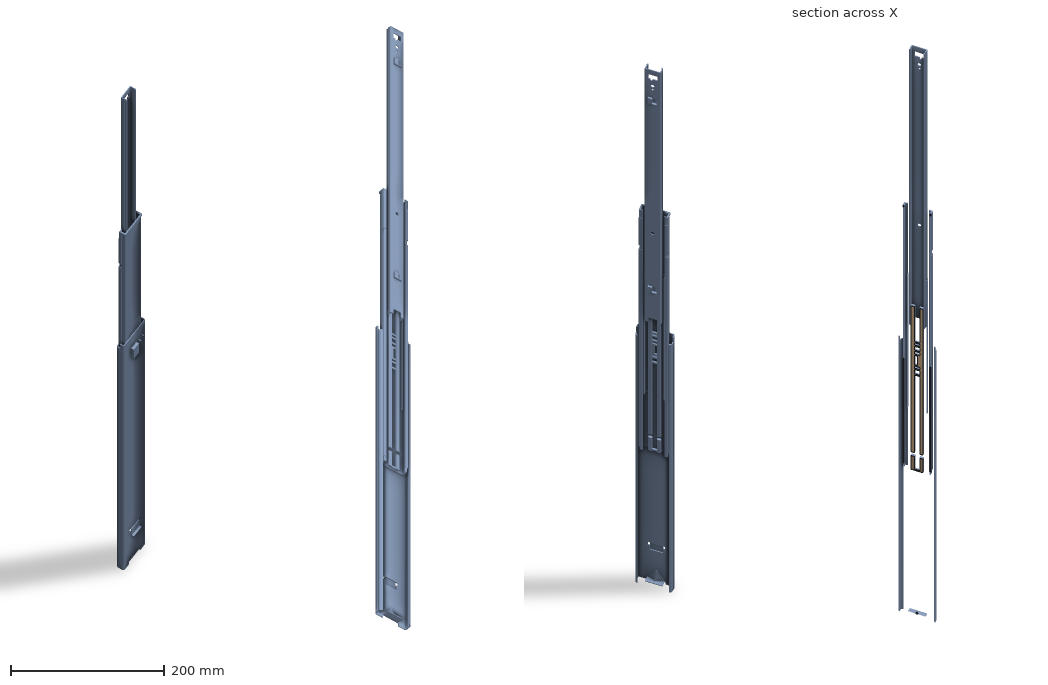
import cadquery as cq
import math


SLIDE_LENGTH = 1025.0
MEMBER_LENGTH = 499.0
OVERALL_DEPTH = 22.0
CABINET_WIDTH = 52.0
HOOK_REACH = OVERALL_DEPTH / 2
SHEET = 1.2
BEND = 0.8

CABINET_HALF_WIDTH = CABINET_WIDTH / 2
CABINET_HALF_DEPTH = 6.0
CABINET_BEND = 2.6
BEAD_RADIUS = 4.0
BEAD_SETBACK = 9.0
BEAD_START_ANGLE = 59
BEAD_END_ANGLE = 180

MIDDLE_HALF_WIDTH = 19.0
MIDDLE_FRONT = -5.0
MIDDLE_BACK = 4.0
MIDDLE_MOUTH = 15.0
MIDDLE_BOTTOM = 264.0
MIDDLE_TOP = 739.0

DRAWER_HALF_WIDTH = 11.0
DRAWER_FRONT = -8.0
DRAWER_BACK = 1.0
DRAWER_MOUTH = 9.0
DRAWER_RACE_FRONT = -2.9
DRAWER_RACE_BACK = -0.5
DRAWER_RACE_DEPTH = 0.5
DRAWER_BOTTOM = SLIDE_LENGTH - MEMBER_LENGTH

CAGE_WALL = 0.6
CAGE_GAP = 0.2
OUTER_CAGE_HALF_WIDTH = 20.0
OUTER_CAGE_LIP = 16.0
OUTER_CAGE_LEG_BACK = -1.0
OUTER_CAGE_BOTTOM = 272.0
OUTER_CAGE_TOP = 661.0
OUTER_CAGE_STRAP_TOP = 461.0
TOP_BUMPER_BOTTOM = 669.0
TOP_BUMPER_STRAP_BOTTOM = 736.0
TOP_BUMPER_LIP_TOP = 724.0

INNER_CAGE_OUTSIDE = 14.0
INNER_CAGE_PLATE_WIDTH = 1.8
INNER_CAGE_INSIDE = INNER_CAGE_OUTSIDE - INNER_CAGE_PLATE_WIDTH
INNER_CAGE_FRONT = -3.0
INNER_CAGE_BOTTOM = 373.0
INNER_CAGE_FOOT_INSIDE = 9.0
INNER_CAGE_FOOT_HEIGHT = 3.0
INNER_CAGE_BRIDGE = 554.0
INNER_CAGE_TOP = 615.0

BAR_INSIDE = 3.6
BAR_OUTSIDE = 8.7
BAR_FRONT = -2.0
BAR_BACK = 1.4
LATCH_BOTTOM = 296.0
LATCH_TOP = 562.0
RUNG_FRONT = -1.0
RUNG_HEIGHT = 3.0
RUNG_HEIGHTS = (439.0, 449.0, 455.0, 475.0, 482.0, 491.0, 497.0)
FINGER_WIDTH = 3.0
STOP_TOP = 290.0

WINDOW_HALF_WIDTH = 6.7
WINDOW_BOTTOM = 1008.0
WINDOW_TOP = 1016.0
WINDOW_NOTCH_WIDTH = 3.0
WINDOW_NOTCH_DEPTH = 3.0
END_NOTCH_HALF_WIDTH = 6.0
END_NOTCH_DEPTH = 8.0
SCREW_HOLE_HEIGHT = 994.0
SCREW_HOLE_DIAMETER = 5.0
PILOT_HOLE_HEIGHT = 987.0
PILOT_HOLE_DIAMETER = 3.0
RIVET_HOLE_HEIGHT = 703.0
RIVET_HOLE_DIAMETER = 5.0
DRAWER_HOOK_HEIGHTS = (593.0, 967.0)
DRAWER_HOOK_WIDTH = 6.0
DRAWER_HOOK_LENGTH = 9.0
DRAWER_HOOK_SLOT_WIDTH = 4.0
DRAWER_HOOK_SLOT_DEPTH = 0.6

LOWER_HOOK_BOTTOM = 60.0
LOWER_HOOK_TOP = 74.0
LOWER_HOOK_HALF_WIDTH = 9.0
LOWER_HOOK_SHOULDER = 3.0
LOWER_HOOK_SHOULDER_HEIGHT = 5.0
UPPER_HOOK_BOTTOM = 455.0
UPPER_HOOK_TOP = 476.0
UPPER_HOOK_RIGHT = -9.0
UPPER_HOOK_LEFT = 3.0
UPPER_HOOK_FRONT = 7.0
FIN_PLACES = ((7.7, HOOK_REACH), (16.0, 9.0))
GUSSET_HALF_WIDTH = 12.0
GUSSET_HEIGHT = 18.0
GUSSET_BASE = 5.0
GUSSET_STEPS = 4
GUSSET_RISE = 1.0
END_STOP_FRONT = -4.0
LOWER_END_NOTCH_HALF_WIDTH = 13.0


def box(x0, x1, y0, y1, z0, z1):
    """Block between two corners."""
    return cq.Workplane("XY").box(x1 - x0, y1 - y0, z1 - z0, centered=False).translate((x0, y0, z0))


def channel(x_web, x_lip, half_width, mouth, wall, z0, z1):
    """C-section rail along Z: web at x_web, lips at x_lip, bends rounded outside."""
    toward_lip = 1 if x_lip > x_web else -1
    low, high = sorted((x_web, x_lip))
    rail = box(low, high, -half_width, half_width, z0, z1).edges("|Z").fillet(BEND)
    inside = box(low + wall, high - wall, wall - half_width, half_width - wall, z0, z1)
    lip_low, lip_high = sorted((x_lip, x_lip - toward_lip * wall))
    opening = box(lip_low, lip_high, -mouth, mouth, z0, z1)
    return rail.cut(inside).cut(opening)


def around(center, radius, degrees):
    """Point on a circle, at an angle from +X toward +Y."""
    angle = math.radians(degrees)
    return (center[0] + radius * math.cos(angle), center[1] + radius * math.sin(angle))


def make_cabinet_rail():
    """C-section rail with a flat web, straight flanges and rolled ball races along the lips."""
    back = CABINET_HALF_DEPTH
    flange = CABINET_HALF_WIDTH
    bead_center = (BEAD_RADIUS - CABINET_HALF_DEPTH, flange - BEAD_RADIUS)
    inside_radius = BEAD_RADIUS - SHEET
    middle_angle = (BEAD_START_ANGLE + BEAD_END_ANGLE) / 2
    bead_start = around(bead_center, BEAD_RADIUS, BEAD_START_ANGLE)
    flange_inside = flange - SHEET
    bend_center = (back - CABINET_BEND, flange - CABINET_BEND)

    half = (
        cq.Workplane("XY")
        .moveTo(back, 0)
        .lineTo(back, bend_center[1])
        .threePointArc(around(bend_center, CABINET_BEND, 45), (bend_center[0], flange))
        .lineTo(bead_start[0], flange)
        .lineTo(*bead_start)
        .threePointArc(around(bead_center, BEAD_RADIUS, middle_angle),
                       around(bead_center, BEAD_RADIUS, BEAD_END_ANGLE))
        .lineTo(*around(bead_center, inside_radius, BEAD_END_ANGLE))
        .threePointArc(around(bead_center, inside_radius, middle_angle),
                       around(bead_center, inside_radius, BEAD_START_ANGLE))
        .lineTo(bead_start[0] + SHEET, flange_inside)
        .lineTo(back - SHEET, flange_inside)
        .lineTo(back - SHEET, 0)
        .close()
        .extrude(MEMBER_LENGTH)
    )
    rail = half.union(half.mirror("XZ"))
    return rail.cut(box(-back, bead_start[0], -flange, flange, MEMBER_LENGTH - BEAD_SETBACK, MEMBER_LENGTH))


def make_cabinet_member():
    web_face = CABINET_HALF_DEPTH - SHEET
    rail = make_cabinet_rail()

    half, shoulder = LOWER_HOOK_HALF_WIDTH, LOWER_HOOK_HALF_WIDTH + LOWER_HOOK_SHOULDER
    rail = rail.cut(box(web_face, CABINET_HALF_DEPTH, -half, half, LOWER_HOOK_BOTTOM, LOWER_HOOK_TOP))
    rail = rail.cut(box(web_face, CABINET_HALF_DEPTH, -shoulder, shoulder,
                        LOWER_HOOK_TOP - LOWER_HOOK_SHOULDER_HEIGHT, LOWER_HOOK_TOP))
    lug_face = CABINET_HALF_DEPTH + SHEET
    rail = rail.union(box(web_face, lug_face, -half, half, LOWER_HOOK_BOTTOM - SHEET, LOWER_HOOK_BOTTOM))
    rail = rail.union(box(CABINET_HALF_DEPTH, lug_face, -half, half,
                          LOWER_HOOK_BOTTOM - SHEET, LOWER_HOOK_TOP))
    rail = rail.union(box(CABINET_HALF_DEPTH, HOOK_REACH, -half, half,
                          LOWER_HOOK_BOTTOM - SHEET, LOWER_HOOK_BOTTOM))

    rail = rail.union(box(web_face, HOOK_REACH, UPPER_HOOK_RIGHT, UPPER_HOOK_LEFT,
                          UPPER_HOOK_TOP - SHEET, UPPER_HOOK_TOP))
    rail = rail.union(box(UPPER_HOOK_FRONT, HOOK_REACH, UPPER_HOOK_RIGHT, UPPER_HOOK_LEFT,
                          UPPER_HOOK_BOTTOM, UPPER_HOOK_TOP))
    for place, reach in FIN_PLACES:
        rail = rail.union(box(web_face, reach, place, place + SHEET, UPPER_HOOK_TOP - SHEET, UPPER_HOOK_TOP))

    rail = rail.cut(box(web_face, CABINET_HALF_DEPTH, -LOWER_END_NOTCH_HALF_WIDTH,
                        LOWER_END_NOTCH_HALF_WIDTH, 0, GUSSET_BASE))
    rail = rail.union(box(END_STOP_FRONT, CABINET_HALF_DEPTH, -GUSSET_HALF_WIDTH, GUSSET_HALF_WIDTH,
                          GUSSET_BASE, GUSSET_BASE + SHEET))
    for step in range(GUSSET_STEPS):
        scale = 1 - step / GUSSET_STEPS
        half_base, height = GUSSET_HALF_WIDTH * scale, GUSSET_HEIGHT * scale
        layer = (cq.Workplane("YZ", origin=(web_face, 0, GUSSET_BASE))
                 .polyline([(-half_base, 0), (half_base, 0), (0, height)]).close()
                 .extrude(-GUSSET_RISE * (step + 1)))
        rail = rail.union(layer)
    return rail


def make_intermediate_member():
    return channel(MIDDLE_BACK, MIDDLE_FRONT, MIDDLE_HALF_WIDTH, MIDDLE_MOUTH, SHEET,
                   MIDDLE_BOTTOM, MIDDLE_TOP)


def make_drawer_member():
    web_back = DRAWER_FRONT + SHEET
    rail = channel(DRAWER_FRONT, DRAWER_BACK, DRAWER_HALF_WIDTH, DRAWER_MOUTH, SHEET,
                   DRAWER_BOTTOM, SLIDE_LENGTH)

    for side in (-1, 1):
        race = sorted((side * (DRAWER_HALF_WIDTH - DRAWER_RACE_DEPTH), side * DRAWER_HALF_WIDTH))
        rail = rail.cut(box(DRAWER_RACE_FRONT, DRAWER_RACE_BACK, *race, DRAWER_BOTTOM, SLIDE_LENGTH))

    rail = rail.cut(box(DRAWER_FRONT, web_back, -WINDOW_HALF_WIDTH, WINDOW_HALF_WIDTH,
                        WINDOW_BOTTOM, WINDOW_TOP))
    rail = rail.cut(box(DRAWER_FRONT, web_back, 0, WINDOW_NOTCH_WIDTH,
                        WINDOW_BOTTOM - WINDOW_NOTCH_DEPTH, WINDOW_BOTTOM))
    rail = rail.cut(box(DRAWER_FRONT, web_back, -END_NOTCH_HALF_WIDTH, END_NOTCH_HALF_WIDTH,
                        DRAWER_BOTTOM, DRAWER_BOTTOM + END_NOTCH_DEPTH))

    for height, diameter in ((SCREW_HOLE_HEIGHT, SCREW_HOLE_DIAMETER),
                             (PILOT_HOLE_HEIGHT, PILOT_HOLE_DIAMETER),
                             (RIVET_HOLE_HEIGHT, RIVET_HOLE_DIAMETER)):
        hole = cq.Workplane("YZ", origin=(DRAWER_FRONT, 0, height)).circle(diameter / 2).extrude(SHEET)
        rail = rail.cut(hole)

    for height in DRAWER_HOOK_HEIGHTS:
        bottom, top = height - DRAWER_HOOK_LENGTH / 2, height + DRAWER_HOOK_LENGTH / 2
        rail = rail.cut(box(DRAWER_FRONT, DRAWER_FRONT + DRAWER_HOOK_SLOT_DEPTH,
                            -DRAWER_HOOK_SLOT_WIDTH, 0, bottom, top))
        rail = rail.union(box(-HOOK_REACH, web_back, 0, DRAWER_HOOK_WIDTH, bottom, top))
        rail = rail.union(box(-HOOK_REACH, web_back, -DRAWER_HOOK_WIDTH, DRAWER_HOOK_WIDTH,
                              bottom - SHEET, bottom))
    return rail


def make_outer_carrier(z0, z1, strap_z0, strap_z1):
    """Two lipped legs outside the intermediate member, joined behind its web by a strap."""
    back = MIDDLE_BACK + CAGE_GAP + CAGE_WALL
    sleeve = channel(back, MIDDLE_FRONT - CAGE_GAP - CAGE_WALL, OUTER_CAGE_HALF_WIDTH, OUTER_CAGE_LIP,
                     CAGE_WALL, z0, z1)
    for low, high in ((z0, strap_z0), (strap_z1, z1)):
        if high > low:
            sleeve = sleeve.cut(box(OUTER_CAGE_LEG_BACK, back, -OUTER_CAGE_HALF_WIDTH,
                                    OUTER_CAGE_HALF_WIDTH, low, high))
    return sleeve


def make_top_bumper():
    """Carrier at the upper end of the intermediate member, with its lips cut back at the top."""
    bumper = make_outer_carrier(TOP_BUMPER_BOTTOM, MIDDLE_TOP, TOP_BUMPER_STRAP_BOTTOM, MIDDLE_TOP)
    lip_front = MIDDLE_FRONT - CAGE_GAP - CAGE_WALL
    return bumper.cut(box(lip_front, MIDDLE_FRONT, -OUTER_CAGE_HALF_WIDTH, OUTER_CAGE_HALF_WIDTH,
                          TOP_BUMPER_LIP_TOP, MIDDLE_TOP))


def make_inner_cage():
    """Two L-section arms with feet at the bottom, joined at their upper end behind the drawer member."""
    plate_back = MIDDLE_BACK - SHEET - CAGE_GAP
    plate_front = plate_back - CAGE_WALL
    cage = box(plate_front, plate_back, -INNER_CAGE_OUTSIDE, INNER_CAGE_OUTSIDE,
               INNER_CAGE_BRIDGE, INNER_CAGE_TOP)
    for side in (-1, 1):
        plate = sorted((side * INNER_CAGE_INSIDE, side * INNER_CAGE_OUTSIDE))
        wall = sorted((side * (INNER_CAGE_OUTSIDE - CAGE_WALL), side * INNER_CAGE_OUTSIDE))
        foot = sorted((side * INNER_CAGE_FOOT_INSIDE, side * INNER_CAGE_OUTSIDE))
        cage = cage.union(box(plate_front, plate_back, *foot, INNER_CAGE_BOTTOM,
                              INNER_CAGE_BOTTOM + INNER_CAGE_FOOT_HEIGHT))
        cage = cage.union(box(plate_front, plate_back, *plate, INNER_CAGE_BOTTOM, INNER_CAGE_TOP))
        cage = cage.union(box(INNER_CAGE_FRONT, plate_back, *wall, INNER_CAGE_BOTTOM, INNER_CAGE_TOP))
    return cage


def make_bar_pair(z0, z1):
    """Two parallel bars along Z, one on each side of the mid plane."""
    left = box(BAR_FRONT, BAR_BACK, BAR_INSIDE, BAR_OUTSIDE, z0, z1)
    right = box(BAR_FRONT, BAR_BACK, -BAR_OUTSIDE, -BAR_INSIDE, z0, z1)
    return left.add(right).combine()


def make_rung(z0):
    """Crosspiece that joins the two bars of a pair."""
    return box(RUNG_FRONT, BAR_BACK, -BAR_INSIDE, BAR_INSIDE, z0, z0 + RUNG_HEIGHT)


def make_latch():
    latch = make_bar_pair(LATCH_BOTTOM, LATCH_TOP)
    for height in RUNG_HEIGHTS:
        latch = latch.union(make_rung(height - RUNG_HEIGHT / 2))
    finger = box(RUNG_FRONT, BAR_BACK, BAR_INSIDE - FINGER_WIDTH, BAR_INSIDE,
                 RUNG_HEIGHTS[2], RUNG_HEIGHTS[3])
    return latch.union(finger)


def make_lower_stop():
    return make_bar_pair(MIDDLE_BOTTOM, STOP_TOP).union(make_rung(MIDDLE_BOTTOM))


cabinet_member = make_cabinet_member()
intermediate_member = make_intermediate_member()
drawer_member = make_drawer_member()
outer_cage = make_outer_carrier(OUTER_CAGE_BOTTOM, OUTER_CAGE_TOP,
                                OUTER_CAGE_BOTTOM, OUTER_CAGE_STRAP_TOP)
top_bumper = make_top_bumper()
inner_cage = make_inner_cage()
latch = make_latch()
lower_stop = make_lower_stop()

result = cq.Compound.makeCompound([
    cabinet_member.val(),
    intermediate_member.val(),
    drawer_member.val(),
    outer_cage.val(),
    top_bumper.val(),
    inner_cage.val(),
    latch.val(),
    lower_stop.val(),
])